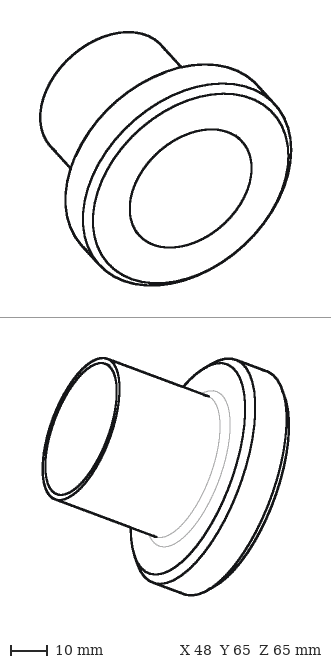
import cadquery as cq

flange_diameter = 65.0
flange_thickness = 14.0
total_length = 48.0
tube_diameter = 41.0
bore_diameter = 38.0
edge_chamfer = 2.0
root_fillet = 2.0

flange_start = total_length - flange_thickness
tube_radius = tube_diameter / 2


def cylinder_along_x(start, length, diameter):
    return cq.Workplane("YZ", origin=(start, 0, 0)).circle(diameter / 2).extrude(length)


flange = cylinder_along_x(flange_start, flange_thickness, flange_diameter)
flange = flange.edges().chamfer(edge_chamfer)

tube = cylinder_along_x(0, total_length, tube_diameter)
root_ring = (
    cq.Workplane("XY")
    .moveTo(flange_start, tube_radius)
    .lineTo(flange_start, tube_radius + root_fillet)
    .radiusArc((flange_start - root_fillet, tube_radius), root_fillet)
    .close()
    .revolve(360, (0, 0, 0), (1, 0, 0))
)

bore = cylinder_along_x(0, total_length, bore_diameter)

result = flange.union(tube).union(root_ring).cut(bore)